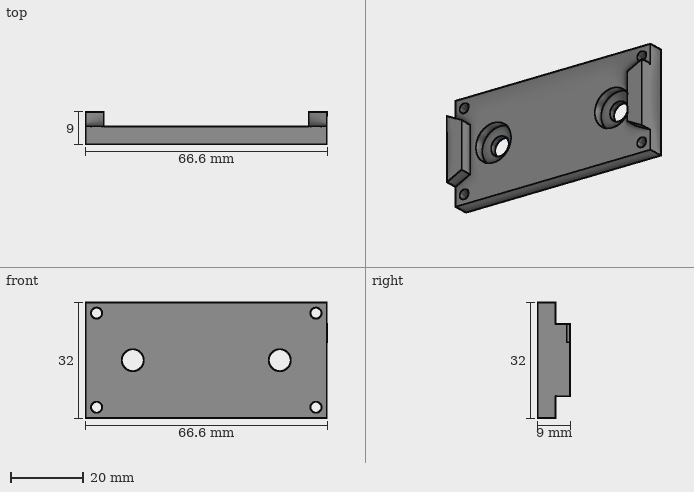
import cadquery as cq

plate_length = 66.55
plate_height = 32.0
plate_thickness = 5.0

block_width = 5.0
block_depth = 4.0
block_outer_height = 20.0
block_inner_height = 15.0

overall_length = 66.6
nub_thickness = overall_length - plate_length
nub_depth = 1.0
nub_height = 5.0

corner_hole_diameter = 3.0
corner_hole_inset = 3.0
main_hole_diameter = 6.0
main_hole_inset = 13.0
counterbore_diameter = 12.0
counterbore_depth = 3.0

end_x = plate_length / 2
back_y = plate_thickness + block_depth


def end_block(side):
    """Block at one end (side = -1 or 1), tapering in height towards the middle."""
    outer_x = side * end_x
    inner_x = side * (end_x - block_width)
    outline = [
        (outer_x, -block_outer_height / 2),
        (outer_x, block_outer_height / 2),
        (inner_x, block_inner_height / 2),
        (inner_x, -block_inner_height / 2),
    ]
    block = cq.Workplane("XZ", origin=(0, plate_thickness, 0)).polyline(outline).close()
    return block.extrude(-block_depth)


def bore(points, diameter, start_y, depth):
    """Cylinders along +Y, from start_y, at the given (x, z) points."""
    plane = cq.Workplane("XZ", origin=(0, start_y, 0))
    return plane.pushPoints(points).circle(diameter / 2).extrude(-depth)


plate = cq.Workplane("XY").box(
    plate_length, plate_thickness, plate_height, centered=(True, False, True)
)

nub = cq.Workplane("XY").box(nub_thickness, nub_depth, nub_height, centered=False)
nub = nub.translate((end_x, back_y - nub_depth, block_outer_height / 2 - nub_height))

corner_x = end_x - corner_hole_inset
corner_z = plate_height / 2 - corner_hole_inset
corner_points = [(x, z) for x in (-corner_x, corner_x) for z in (-corner_z, corner_z)]

main_x = end_x - main_hole_inset
main_points = [(-main_x, 0), (main_x, 0)]

result = plate.union(end_block(-1)).union(end_block(1)).union(nub)
result = result.cut(bore(corner_points, corner_hole_diameter, 0, plate_thickness))
result = result.cut(bore(main_points, main_hole_diameter, 0, plate_thickness))
counterbore_start = plate_thickness - counterbore_depth
result = result.cut(bore(main_points, counterbore_diameter, counterbore_start, counterbore_depth))